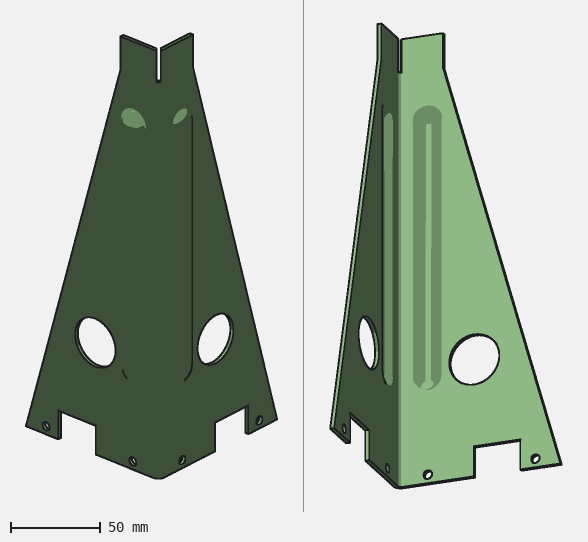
import cadquery as cq
import math

height = 268.9
flange_width = 99.5
thickness = 2.5
bend_inner_radius = 1.5
bend_outer_radius = bend_inner_radius + thickness

top_width = 28.8
straight_top_height = 20.7
notch_near = 47.3
notch_far = 75.3
notch_height = 18.0

large_hole_diameter = 30.0
large_hole_place = (47.5, 70.2)
small_hole_diameter = 5.0
small_hole_height = 5.0
small_hole_distances = (19.5, 84.5)

bead_distance = 19.0
bead_half_width = 9.5
bead_depth = 4.0
bead_base_radius = 2.0
bead_bottom = 63.0
bead_top = 217.2

slit_width = 2.5
slit_depth = 20.0


def cylinder_across_sheet(distance, z, diameter):
    """Cutter through the -X flange."""
    return (
        cq.Workplane("XZ", origin=(0, thickness, 0))
        .center(-distance, z)
        .circle(diameter / 2)
        .extrude(thickness)
    )


def flat_flange():
    """Tapered plate along -X, ending where the bend starts."""
    plate = (
        cq.Workplane("XZ", origin=(0, thickness, 0))
        .polyline([
            (-bend_outer_radius, 0),
            (-notch_near, 0),
            (-notch_near, notch_height),
            (-notch_far, notch_height),
            (-notch_far, 0),
            (-flange_width, 0),
            (-top_width, height - straight_top_height),
            (-top_width, height),
            (-bend_outer_radius, height),
        ])
        .close()
        .extrude(thickness)
    )
    plate = plate.cut(cylinder_across_sheet(*large_hole_place, large_hole_diameter))
    for distance in small_hole_distances:
        plate = plate.cut(cylinder_across_sheet(distance, small_hole_height, small_hole_diameter))
    return plate


def bead_half_profile():
    """Right half of the bead section: a crown arc meeting the sheet through a base arc."""
    turn = 2 * math.atan(bead_depth / bead_half_width)
    crown_outer = bead_half_width / math.sin(turn) - bead_base_radius
    crown_inner = crown_outer - thickness
    base_inner = bead_base_radius + thickness
    crown_center = crown_outer - bead_depth

    def crown_point(radius, angle):
        return (radius * math.sin(angle), crown_center - radius * math.cos(angle))

    def base_point(radius, angle):
        return (
            bead_half_width - radius * math.sin(angle),
            radius * math.cos(angle) - bead_base_radius,
        )

    return (
        cq.Workplane("XY", origin=(-bead_distance, 0, bead_bottom))
        .moveTo(*crown_point(crown_outer, 0))
        .threePointArc(crown_point(crown_outer, turn / 2), crown_point(crown_outer, turn))
        .threePointArc(base_point(bead_base_radius, turn / 2), base_point(bead_base_radius, 0))
        .lineTo(*base_point(base_inner, 0))
        .threePointArc(base_point(base_inner, turn / 2), base_point(base_inner, turn))
        .threePointArc(crown_point(crown_inner, turn / 2), crown_point(crown_inner, 0))
        .close()
    )


def bead():
    """Straight bead with a domed end at top and bottom."""
    length = bead_top - bead_bottom
    half_bar = bead_half_profile().extrude(length)
    bar = half_bar.union(half_bar.mirror("YZ", (-bead_distance, 0, 0)))
    lower_dome = bead_half_profile().revolve(180, (0, 0, 0), (0, 1, 0))
    upper_dome = lower_dome.mirror("XY", (0, 0, (bead_bottom + bead_top) / 2))
    return bar.union(lower_dome).union(upper_dome)


def bead_opening():
    """Slot removed from the flat sheet where the bead is formed."""
    width = 2 * bead_half_width
    return (
        cq.Workplane("XZ", origin=(0, thickness, 0))
        .center(-bead_distance, (bead_bottom + bead_top) / 2)
        .slot2D(bead_top - bead_bottom + width, width, 90)
        .extrude(thickness)
    )


def bend():
    """Quarter-round bend, slit along its middle at the top."""
    middle = math.sqrt(0.5)
    r_out = bend_outer_radius
    r_in = bend_inner_radius
    corner = (
        cq.Workplane("XY")
        .moveTo(-r_out, 0)
        .threePointArc((-r_out + r_out * middle, r_out - r_out * middle), (0, r_out))
        .lineTo(-thickness, r_out)
        .threePointArc((-r_out + r_in * middle, r_out - r_in * middle), (-r_out, thickness))
        .close()
        .extrude(height)
    )
    slit = (
        cq.Workplane("XY")
        .rect(4 * r_out, slit_width)
        .extrude(slit_depth)
        .rotate((0, 0, 0), (0, 0, 1), -45)
        .translate((0, 0, height - slit_depth))
    )
    return corner.cut(slit)


front_flange = flat_flange().cut(bead_opening()).union(bead())
side_flange = front_flange.mirror("YZ").rotate((0, 0, 0), (0, 0, 1), 90)
result = front_flange.union(bend()).union(side_flange)